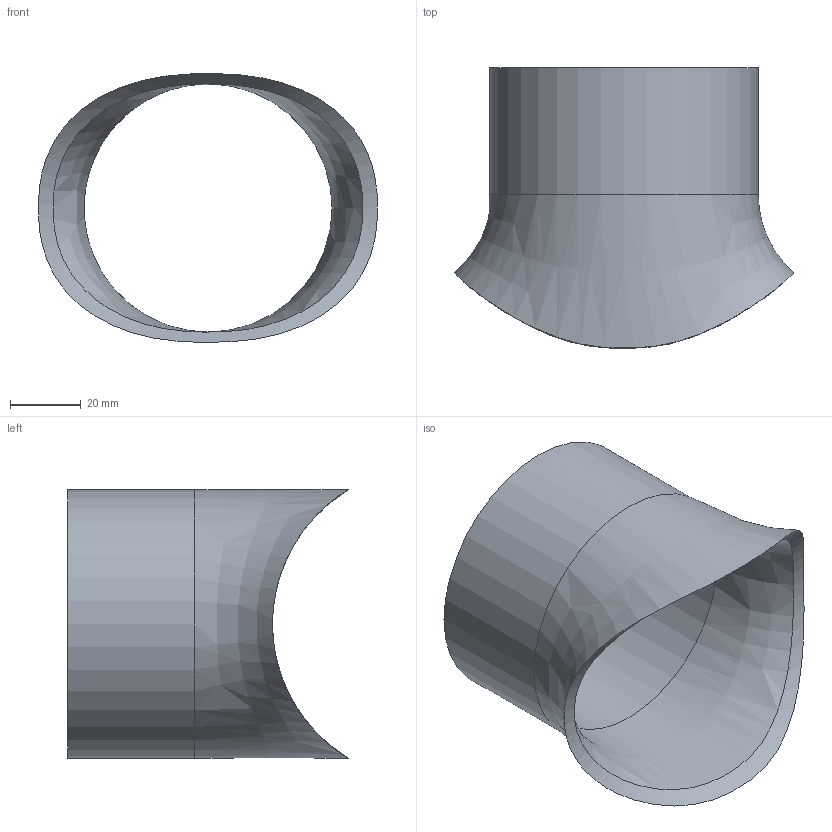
import cadquery as cq
import math

TUBE_OUTER_DIAMETER = 76.1
TUBE_INNER_DIAMETER = 70.3
TUBE_LENGTH = 36.0
OVERALL_LENGTH = 79.47

MAIN_PIPE_DIAMETER = 88.9

RIM_OUTER_WIDTH = 96.0
RIM_INNER_WIDTH = 87.7
RIM_OUTER_EXPONENT = 2.3
RIM_INNER_EXPONENT = 2.22

RINGS = 6
POINTS_PER_RING = 48
SMALLEST_TURN = 1e-6
SEWING_TOLERANCE = 1e-3

outer_radius = TUBE_OUTER_DIAMETER / 2
inner_radius = TUBE_INNER_DIAMETER / 2
main_pipe_radius = MAIN_PIPE_DIAMETER / 2
main_pipe_y = -OVERALL_LENGTH - math.sqrt(main_pipe_radius**2 - outer_radius**2)


def rim_radius(angle, half_width, half_height, exponent):
    """Distance from the tube axis to a superelliptic rim edge."""
    across = abs(math.cos(angle) / half_width) ** exponent
    upright = abs(math.sin(angle) / half_height) ** exponent
    return (across + upright) ** (-1 / exponent)


def flare_point(angle, fraction, tube_radius, end_radius):
    """Point on a meridian of the flare: an arc tangent to the tube that ends on the main pipe."""
    end_height = end_radius * math.sin(angle)
    end_y = main_pipe_y + math.sqrt(main_pipe_radius**2 - end_height**2)
    depth = -TUBE_LENGTH - end_y
    turn = 2 * math.atan2(end_radius - tube_radius, depth)
    if turn < SMALLEST_TURN:
        radius = tube_radius
        reach = fraction * depth
    else:
        arc_radius = depth / math.sin(turn)
        radius = tube_radius + arc_radius * (1 - math.cos(fraction * turn))
        reach = arc_radius * math.sin(fraction * turn)
    return cq.Vector(radius * math.cos(angle), -TUBE_LENGTH - reach, radius * math.sin(angle))


def flare_ring(fraction, tube_radius, rim_width, exponent):
    """Closed curve around the flare, at the same fraction of every meridian."""
    points = []
    for index in range(POINTS_PER_RING):
        angle = 2 * math.pi * index / POINTS_PER_RING
        end_radius = rim_radius(angle, rim_width / 2, tube_radius, exponent)
        points.append(flare_point(angle, fraction, tube_radius, end_radius))
    return cq.Wire.assembleEdges([cq.Edge.makeSpline(points, periodic=True)])


def flare_rings(tube_radius, rim_width, exponent):
    """Curves from the round end of the tube to the edge of the rim."""
    tube_end = cq.Workplane("XZ", origin=(0, -TUBE_LENGTH, 0)).circle(tube_radius)
    rings = [tube_end.val()]
    for index in range(1, RINGS + 1):
        rings.append(flare_ring(index / RINGS, tube_radius, rim_width, exponent))
    return rings


def tube_faces():
    """Faces of the straight tube, left open where the flare begins."""
    tube = cq.Workplane("XZ").circle(outer_radius).circle(inner_radius).extrude(TUBE_LENGTH)
    return tube.faces("not <Y").vals()


def flare_faces():
    """Outer and inner flare surfaces and the rim face between them."""
    outer_rings = flare_rings(outer_radius, RIM_OUTER_WIDTH, RIM_OUTER_EXPONENT)
    inner_rings = flare_rings(inner_radius, RIM_INNER_WIDTH, RIM_INNER_EXPONENT)
    loft = cq.occ_impl.shapes.loft
    outer_surface = loft(*outer_rings)
    inner_surface = loft(*inner_rings)
    rim_face = loft(outer_rings[-1], inner_rings[-1], ruled=True)
    return [outer_surface, inner_surface, rim_face]


skin = cq.occ_impl.shapes.shell(*tube_faces(), *flare_faces(), tol=SEWING_TOLERANCE)
result = cq.Workplane(cq.occ_impl.shapes.solid(skin))